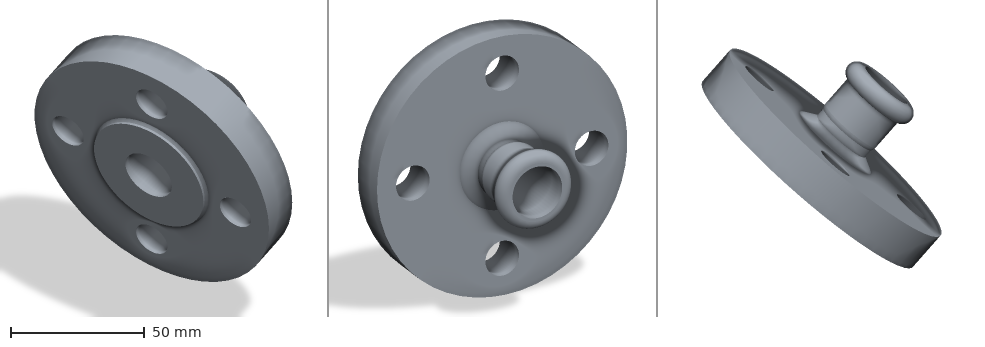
import cadquery as cq
import math

flange_radius = 52.5
face_radius = 24.5
hub_radius = 17.7
neck_radius = 11.9
tube_radius = 12.5
bead_radius = 15.6
bore_radius = 10.4

total_length = 47.0
face_height = 2.1
flange_thickness = 15.9
hub_length = 3.3
neck_length = 3.6
shoulder_length = 1.9
bead_width = 7.7
face_chamfer = 1.0

bolt_count = 4
bolt_hole_radius = 7.0
bolt_circle_radius = 37.5

flange_front = face_height
flange_back = flange_front + flange_thickness
hub_end = flange_back + hub_length
neck_end = hub_end + neck_length
tube_start = neck_end + shoulder_length

shoulder_drop = tube_radius - neck_radius
shoulder_arc_radius = (shoulder_length**2 + shoulder_drop**2) / (2 * shoulder_drop)

bead_section_radius = bead_width / 2
bead_center_radius = bead_radius - bead_section_radius
bead_center = total_length - bead_section_radius
bead_start = bead_center - math.sqrt(
    bead_section_radius**2 - (tube_radius - bead_center_radius) ** 2
)


def revolved_body():
    """Flange, raised face, hub, neck and beaded tube as one revolved profile."""
    profile = (
        cq.Workplane("XY")
        .moveTo(bore_radius, 0)
        .lineTo(face_radius, 0)
        .lineTo(face_radius, flange_front - face_chamfer)
        .lineTo(face_radius + face_chamfer, flange_front)
        .lineTo(flange_radius, flange_front)
        .lineTo(flange_radius, flange_back)
        .lineTo(hub_radius, flange_back)
        .lineTo(neck_radius, hub_end)
        .lineTo(neck_radius, neck_end)
        .radiusArc((tube_radius, tube_start), -shoulder_arc_radius)
        .lineTo(tube_radius, bead_start)
        .threePointArc((bead_radius, bead_center), (bead_center_radius, total_length))
        .lineTo(bore_radius, total_length)
        .close()
    )
    return profile.revolve(360, (0, 0, 0), (0, 1, 0))


def bolt_holes():
    """Cylinders through the flange, on the X and Z axes."""
    return (
        cq.Workplane("XZ")
        .polarArray(bolt_circle_radius, 0, 360, bolt_count)
        .circle(bolt_hole_radius)
        .extrude(-total_length)
    )


result = revolved_body().cut(bolt_holes())